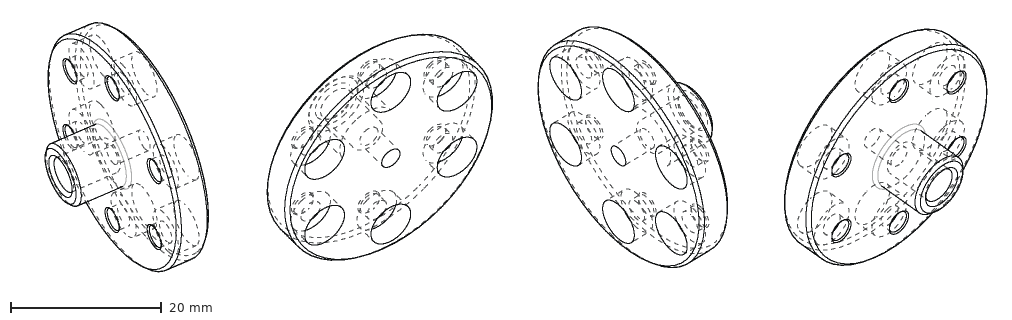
import cadquery as cq

flange_diameter = 34.0
flange_thickness = 5.0
edge_chamfer = 0.5

boss_diameter = 9.0
boss_length = 8.0
boss_root_fillet = 0.5

through_bore_diameter = 3.0
counterbore_diameter = 5.0
counterbore_depth = boss_length
counterbore_floor_fillet = 0.5

bolt_hole_count = 6
bolt_hole_diameter = 3.2
bolt_hole_chamfer = 0.2
bolt_head_diameter = 6.5
bolt_head_depth = 3.2
bolt_circle_diameter = 25.0
first_bolt_angle = 90

flange_back = flange_thickness
flange_front = 0.0
boss_end = -boss_length


def cylinder(diameter, y_start, y_end):
    """Solid cylinder on the Y axis between two Y positions."""
    plane = cq.Workplane("XZ", origin=(0, y_end, 0))
    return plane.circle(diameter / 2).extrude(y_end - y_start)


def make_flange():
    disc = cylinder(flange_diameter, flange_front, flange_back)
    return disc.faces("<Y or >Y").edges().chamfer(edge_chamfer)


def add_boss(body):
    joined = body.union(cylinder(boss_diameter, boss_end, flange_front))
    point_on_flange = (0, flange_front, flange_diameter / 4)
    flange_face = joined.faces(cq.selectors.NearestToPointSelector(point_on_flange))
    filleted = flange_face.edges(cq.selectors.RadiusNthSelector(0)).fillet(boss_root_fillet)
    return filleted.faces("<Y").edges().chamfer(edge_chamfer)


def cut_central_bore(body):
    floor = boss_end + counterbore_depth
    counterbore = cylinder(counterbore_diameter, boss_end, floor)
    counterbore = counterbore.faces(">Y").edges().fillet(counterbore_floor_fillet)
    through_bore = cylinder(through_bore_diameter, boss_end, flange_back)
    bored = body.cut(counterbore).cut(through_bore)
    mouth_edge = cq.selectors.RadiusNthSelector(0)
    return bored.faces("<Y").edges(mouth_edge).chamfer(edge_chamfer)


def make_bolt_hole_cutter():
    """Bolt hole, chamfered at the front and counterbored for the bolt head at the back."""
    radius = bolt_hole_diameter / 2
    head_radius = bolt_head_diameter / 2
    head_seat = flange_back - bolt_head_depth
    profile = cq.Workplane("XY").polyline([
        (0, flange_front),
        (radius + bolt_hole_chamfer, flange_front),
        (radius, flange_front + bolt_hole_chamfer),
        (radius, head_seat),
        (head_radius, head_seat),
        (head_radius, flange_back),
        (0, flange_back),
    ])
    return profile.close().revolve(360, (0, 0, 0), (0, 1, 0))


def cut_bolt_holes(body):
    cutter = make_bolt_hole_cutter().translate((bolt_circle_diameter / 2, 0, 0))
    for index in range(bolt_hole_count):
        angle = first_bolt_angle + index * 360 / bolt_hole_count
        body = body.cut(cutter.rotate((0, 0, 0), (0, 1, 0), angle))
    return body


result = cut_bolt_holes(cut_central_bore(add_boss(make_flange())))